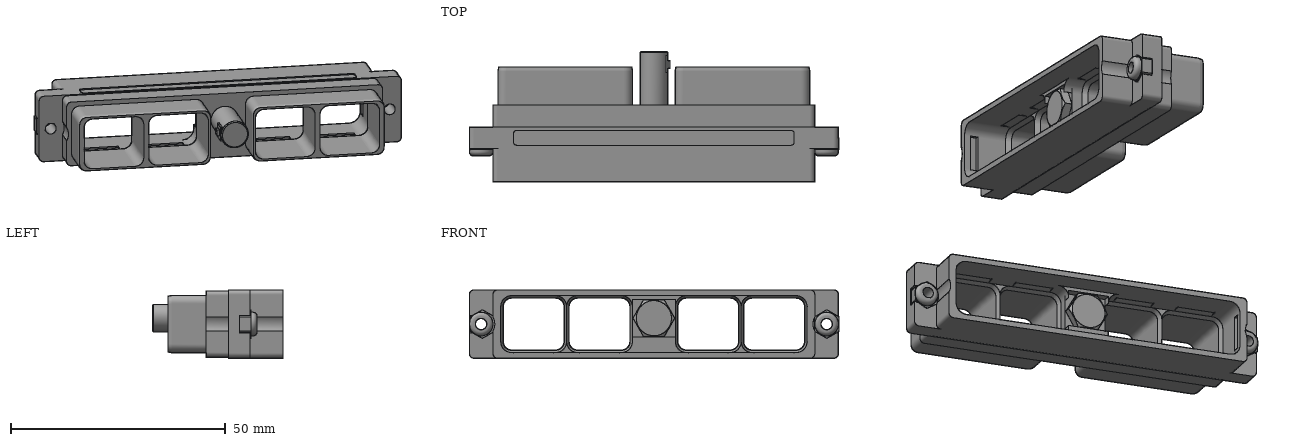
import cadquery as cq
import math

body_length_x = 74.8
flange_length_x = 85.8
front_height = 15.9
rear_height = 15.5
corner_radius = 1.1
flange_front_y = 7.7
flange_back_y = 12.7
body_back_y = 17.9

shell_pitch = 41.2
shell_length_x = 31.3
shell_height = 13.3
shell_radius = 1.9
shell_back_y = 26.75
lip_depth = 0.9
lip_inset = 0.2

cavity_length_x = 71.2
cavity_height = 13.25
cavity_radius = 2.6
block_width = 10.0
block_front_y = 5.85
funnel_front_y = 10.6
funnel_depth = 1.3
funnel_inset = 0.5
window_inset = 0.1
half_cavity = (cavity_length_x - block_width) / 2
half_cavity_x = (cavity_length_x + block_width) / 4
window_pitch = half_cavity / 2

notch_length_x = 9.3
notch_front_y = 8.0
notch_back_y = 10.0
notch_depth = 0.35

end_slot_front_y = 1.55
end_slot_width = 1.9
end_slot_height = 8.25
end_slot_depth = 0.95

label_length_x = 65.2
label_width = 3.4
label_front_y = 8.5
label_radius = 0.7
label_depth = 0.3

pin_z = 1.4
pin_diameter = 6.45
pin_back_y = 30.4
pin_chamfer = 0.3
head_across_flats = 8.4
head_across_corners = head_across_flats / math.cos(math.pi / 6)
head_chamfer_depth = 0.4
head_chamfer_width = 0.8
head_seat_y = 8.0
head_recess_height = 8.8
pad_front_y = 25.45
pad_length_y = 3.9
pad_height = 3.3
key_front_y = 26.4
key_length_y = 1.8
key_height = 1.4
key_reach_x = 3.8

screw_x = 40.2
screw_hole_diameter = 2.6
collar_diameter = 5.5
collar_front_y = 6.0
collar_radius = 0.95
nut_across_flats = 5.8
nut_across_corners = nut_across_flats / math.cos(math.pi / 6)
nut_front_y = 7.5
nut_back_y = 10.15
nut_slot_height = 4.0
nut_slot_depth = 0.7
left_nut_overhang = -0.2
right_nut_overhang = 0.2
screw_channel_radius = 3.2


def plane_at(x, y, z=0):
    """Plane facing +Y with its origin at the given point."""
    return cq.Workplane(cq.Plane(origin=(x, y, z), xDir=(1, 0, 0), normal=(0, 1, 0)))


def rounded_block(x, length_x, height, radius, front_y, back_y, inset=0):
    """Round-cornered block along +Y, drawn in by `inset` on every side at its back."""
    depth = back_y - front_y
    outline = cq.Sketch().rect(length_x, height).vertices().fillet(radius)
    taper = math.degrees(math.atan2(inset, depth))
    return plane_at(x, front_y).placeSketch(outline).extrude(depth, taper=taper)


def rod(x, z, diameter, front_y, back_y):
    return plane_at(x, front_y, z).circle(diameter / 2).extrude(back_y - front_y)


def box_between(x, y, z):
    """Box spanning the three (low, high) ranges."""
    size = (x[1] - x[0], y[1] - y[0], z[1] - z[0])
    return cq.Workplane().box(*size, centered=False).translate((x[0], y[0], z[0]))


def housing():
    frame = rounded_block(0, body_length_x, front_height, corner_radius, 0, flange_back_y)
    rear = rounded_block(0, body_length_x, rear_height, corner_radius, flange_back_y, body_back_y)
    body = frame.union(rear)
    for side in (-1, 1):
        body = body.cut(rod(side * screw_x, 0, 2 * screw_channel_radius, 0, body_back_y))
    flange = rounded_block(0, flange_length_x, front_height, corner_radius, flange_front_y, flange_back_y)
    return body.union(flange)


def shell(x):
    lip_front_y = shell_back_y - lip_depth
    sleeve = rounded_block(x, shell_length_x, shell_height, shell_radius, body_back_y, lip_front_y)
    lip = rounded_block(
        x, shell_length_x, shell_height, shell_radius, lip_front_y, shell_back_y, lip_inset
    )
    return sleeve.union(lip)


def window(x):
    """Funnel narrowing from the cavity to a slightly tapered window that leaves through the shell."""
    funnel_back_y = funnel_front_y + funnel_depth
    funnel = rounded_block(
        x, window_pitch, cavity_height, cavity_radius, funnel_front_y, funnel_back_y, funnel_inset
    )
    opening = rounded_block(
        x,
        window_pitch - 2 * funnel_inset,
        cavity_height - 2 * funnel_inset,
        cavity_radius - funnel_inset,
        funnel_back_y,
        shell_back_y,
        window_inset,
    )
    return funnel.union(opening)


def notch(x, side):
    """Wedge cut into the floor (side -1) or roof (side 1), deepest at its front."""
    surface_z = side * cavity_height / 2
    return (
        cq.Workplane("YZ", origin=(x, 0, 0))
        .moveTo(notch_front_y, surface_z)
        .lineTo(notch_front_y, surface_z + side * notch_depth)
        .lineTo(notch_back_y, surface_z)
        .close()
        .extrude(notch_length_x / 2, both=True)
    )


def cavity():
    space = rounded_block(0, cavity_length_x, cavity_height, cavity_radius, 0, block_front_y)
    for side in (-1, 1):
        centre_x = side * half_cavity_x
        space = space.union(
            rounded_block(
                centre_x, half_cavity, cavity_height, cavity_radius, block_front_y, funnel_front_y
            )
        )
        for offset in (-window_pitch / 2, window_pitch / 2):
            space = space.union(window(centre_x + offset))
            for face in (-1, 1):
                space = space.union(notch(centre_x + offset, face))
    end_slots = cq.Workplane().box(
        cavity_length_x + 2 * end_slot_depth, end_slot_width, end_slot_height
    )
    return space.union(end_slots.translate((0, end_slot_front_y + end_slot_width / 2, 0)))


def label_recess():
    outline = cq.Sketch().rect(label_length_x, label_width).vertices().fillet(label_radius)
    centre = (0, label_front_y + label_width / 2, front_height / 2)
    return cq.Workplane("XY", origin=centre).placeSketch(outline).extrude(-label_depth)


def head_recess():
    half_width = block_width / 2
    half_height = head_recess_height / 2
    return box_between(
        (-half_width, half_width),
        (block_front_y, head_seat_y),
        (pin_z - half_height, pin_z + half_height),
    )


def pin():
    head_depth = head_seat_y - block_front_y
    head = plane_at(0, block_front_y, pin_z).polygon(6, head_across_corners).extrude(head_depth)
    rounding = rod(0, pin_z, head_across_corners, block_front_y, head_seat_y)
    head = head.intersect(rounding.faces("<Y").chamfer(head_chamfer_depth, head_chamfer_width))
    shaft = rod(0, pin_z, pin_diameter, head_seat_y, pin_back_y).faces(">Y").chamfer(pin_chamfer)
    pad = box_between(
        (0, pin_diameter / 2),
        (pad_front_y, pad_front_y + pad_length_y),
        (pin_z - pad_height / 2, pin_z + pad_height / 2),
    )
    key = box_between(
        (0, key_reach_x),
        (key_front_y, key_front_y + key_length_y),
        (pin_z - key_height / 2, pin_z + key_height / 2),
    )
    return head.union(shaft).union(pad).union(key)


def nut_slot(side):
    slot = cq.Workplane().box(2 * nut_slot_depth, nut_back_y - flange_front_y, nut_slot_height)
    return slot.translate((side * flange_length_x / 2, (flange_front_y + nut_back_y) / 2, 0))


def captive_nut(side, overhang):
    """Hexagonal nut showing a flat at the flange end, with a rounded collar in front."""
    hex_x = side * (flange_length_x / 2 + overhang - nut_across_flats / 2)
    nut = (
        plane_at(hex_x, nut_front_y)
        .polygon(6, nut_across_corners)
        .extrude(nut_back_y - nut_front_y)
        .rotate((hex_x, 0, 0), (hex_x, 1, 0), 90)
    )
    collar = rod(side * screw_x, 0, collar_diameter, collar_front_y, nut_front_y)
    return nut.union(collar.faces("<Y").fillet(collar_radius))


def screw_hole(side):
    return rod(side * screw_x, 0, screw_hole_diameter, collar_front_y, flange_back_y)


result = housing()
for side in (-1, 1):
    result = result.union(shell(side * shell_pitch / 2))
result = result.cut(cavity()).cut(label_recess()).cut(head_recess()).union(pin())
for side, overhang in ((-1, left_nut_overhang), (1, right_nut_overhang)):
    result = result.cut(nut_slot(side)).union(captive_nut(side, overhang)).cut(screw_hole(side))